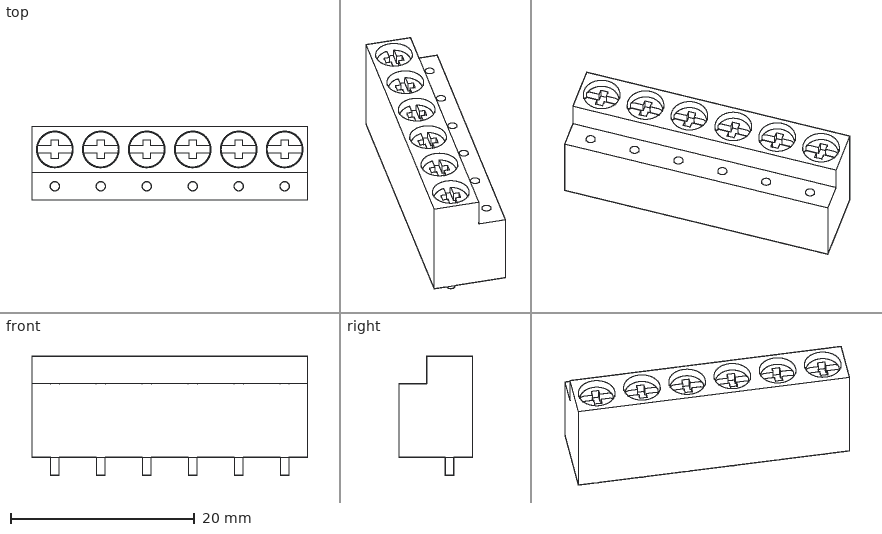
import cadquery as cq

pole_count = 6
length = 30.0
pitch = length / pole_count
depth = 8.0
body_height = 11.0
ledge_depth = 3.0
ledge_height = 8.0
rear_depth = depth - ledge_depth

pin_diameter = 0.95
pin_length = 1.98

wire_hole_diameter = 1.0

bore_diameter = 4.0
bore_depth = 1.8
head_diameter = 3.8
head_recess = 0.6
head_edge_radius = 0.5
slot_width = 0.8
slot_depth = 1.0
cross_slot_length = 2.0

screw_row_y = (depth - rear_depth) / 2
wire_row_y = (ledge_depth - depth) / 2
head_top = body_height - head_recess
bore_floor = body_height - bore_depth
pole_xs = [(i - (pole_count - 1) / 2) * pitch for i in range(pole_count)]


def row_of_discs(y, z, diameter, height):
    """One cylinder per pole, starting at height z; a negative height points down."""
    centres = [(x, y) for x in pole_xs]
    return cq.Workplane("XY", origin=(0, 0, z)).pushPoints(centres).circle(diameter / 2).extrude(height)


def housing():
    profile = [
        (-depth / 2, 0),
        (depth / 2, 0),
        (depth / 2, body_height),
        (depth / 2 - rear_depth, body_height),
        (depth / 2 - rear_depth, ledge_height),
        (-depth / 2, ledge_height),
    ]
    return cq.Workplane("YZ", origin=(-length / 2, 0, 0)).polyline(profile).close().extrude(length)


def screw_heads():
    heads = row_of_discs(screw_row_y, bore_floor, head_diameter, head_top - bore_floor)
    heads = heads.faces(">Z").edges().fillet(head_edge_radius)
    centres = [(x, screw_row_y) for x in pole_xs]
    head_plane = cq.Workplane("XY", origin=(0, 0, head_top)).pushPoints(centres)
    long_slots = head_plane.rect(head_diameter, slot_width).extrude(-slot_depth)
    cross_slots = head_plane.rect(slot_width, cross_slot_length).extrude(-slot_depth)
    return heads.cut(long_slots).cut(cross_slots)


screw_bores = row_of_discs(screw_row_y, body_height, bore_diameter, -bore_depth)
wire_holes = row_of_discs(wire_row_y, 0, wire_hole_diameter, ledge_height)
pins = row_of_discs(screw_row_y, 0, pin_diameter, -pin_length)

result = housing().cut(screw_bores).cut(wire_holes).union(screw_heads()).union(pins)